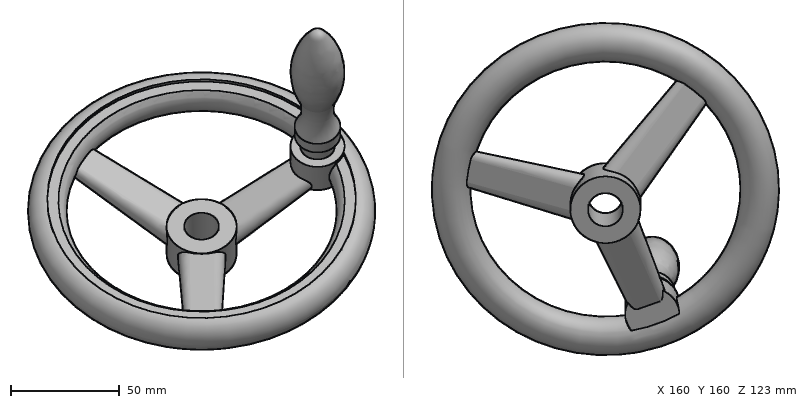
import cadquery as cq
import math

outer_radius = 80.0
rim_section_radius = 9.0
rim_radius = outer_radius - rim_section_radius
rim_top = 40.0
rim_height = rim_top - rim_section_radius
rebate_depth = 1.6

hub_radius = 16.2
hub_height = 20.0
bore_radius = 8.0

spoke_count = 3
spoke_start_height = 9.0
spoke_flat_width = 11.0
spoke_hub_thickness = 12.2
spoke_rim_thickness = 5.8

handle_offset = 62.0
boss_radius = 12.5
boss_bottom = 23.0
stem_radius = 8.0
collar_bottom = 48.2
collar_top = 54.4
collar_radius = 10.5
neck_height = 66.0
neck_radius = 7.5
grip_bottom = 74.7
grip_bottom_radius = 8.5
grip_middle = 94.0
grip_radius = 12.5
tip_bottom = 120.6
tip_radius = 4.0
overall_height = 123.0

neck_bulge = 0.8
throat_bulge = 0.3


def make_rim():
    ring = (
        cq.Workplane("XZ")
        .center(rim_radius, rim_height)
        .circle(rim_section_radius)
        .revolve(360, (-rim_radius, 0), (-rim_radius, 1))
    )
    rebate = (
        cq.Workplane("XY")
        .workplane(offset=rim_top - rebate_depth)
        .circle(rim_radius)
        .extrude(2 * rebate_depth)
    )
    return ring.cut(rebate)


def make_spoke():
    """Spoke towards +Y, with sections square to its sloping axis."""
    rise = rim_height - spoke_start_height
    axis = cq.Plane(
        origin=(0, 0, spoke_start_height),
        xDir=(1, 0, 0),
        normal=(0, rim_radius, rise),
    )
    return (
        cq.Workplane(axis)
        .slot2D(spoke_flat_width + spoke_hub_thickness, spoke_hub_thickness)
        .workplane(offset=math.hypot(rim_radius, rise))
        .slot2D(spoke_flat_width + spoke_rim_thickness, spoke_rim_thickness)
        .loft(ruled=True)
    )


def arc_point(start, end, bulge):
    """Point to the right of the chord's middle, or to its left for a negative bulge."""
    chord_x = end[0] - start[0]
    chord_y = end[1] - start[1]
    chord = math.hypot(chord_x, chord_y)
    middle_x = (start[0] + end[0]) / 2
    middle_y = (start[1] + end[1]) / 2
    return (middle_x + bulge * chord_y / chord, middle_y - bulge * chord_x / chord)


def make_handle():
    neck = (neck_radius, neck_height)
    grip_start = (grip_bottom_radius, grip_bottom)
    tip_start = (tip_radius, tip_bottom)
    tip_height = overall_height - tip_bottom
    tip_sphere_radius = (tip_radius**2 + tip_height**2) / (2 * tip_height)
    tip_half_angle = math.asin(tip_radius / tip_sphere_radius) / 2
    tip_middle = (
        tip_sphere_radius * math.sin(tip_half_angle),
        overall_height - tip_sphere_radius * (1 - math.cos(tip_half_angle)),
    )
    return (
        cq.Workplane("XZ", origin=(0, handle_offset, 0))
        .moveTo(0, rim_height)
        .lineTo(stem_radius, rim_height)
        .lineTo(stem_radius, collar_bottom)
        .lineTo(collar_radius, collar_bottom)
        .lineTo(collar_radius, collar_top)
        .threePointArc(arc_point((collar_radius, collar_top), neck, -neck_bulge), neck)
        .threePointArc(arc_point(neck, grip_start, -throat_bulge), grip_start)
        .threePointArc((grip_radius, grip_middle), tip_start)
        .threePointArc(tip_middle, (0, overall_height))
        .close()
        .revolve(360, (0, 0), (0, 1))
    )


hub = cq.Workplane("XY").circle(hub_radius).extrude(hub_height)
boss = (
    cq.Workplane("XY", origin=(0, handle_offset, boss_bottom))
    .circle(boss_radius)
    .extrude(rim_top - boss_bottom)
)
bore = cq.Workplane("XY").circle(bore_radius).extrude(hub_height)

wheel = make_rim().union(hub)
for index in range(spoke_count):
    spoke = make_spoke().rotate((0, 0, 0), (0, 0, 1), index * 360 / spoke_count)
    wheel = wheel.union(spoke)

result = wheel.union(boss).union(make_handle()).cut(bore)